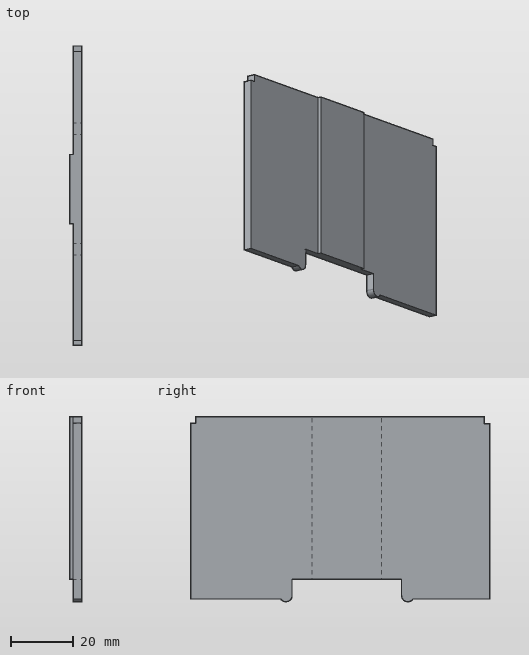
import cadquery as cq
import math

length = 96.5
height = 59.7
total_thickness = 4.0
pad_thickness = 1.2

corner_notches = [
    (-1, 1.6, 2.1),
    (1, 1.8, 2.3),
]

slot_center = 2.1
slot_width = 35.2
slot_top = 7.2
foot_radius = 2.0
foot_drop = 0.9

pad_width = 22.4

plate_thickness = total_thickness - pad_thickness
half_length = length / 2
top = height / 2
foot_bottom = -height / 2
body_bottom = foot_bottom + foot_drop
slot_roof = foot_bottom + slot_top
pad_front = -total_thickness / 2
plate_front = pad_front + pad_thickness


def make_plate():
    """Plate with notched top corners and a plain bottom edge."""
    blank_height = top - body_bottom
    blank = cq.Workplane("XY").box(plate_thickness, length, blank_height, centered=(False, True, False))
    plate = blank.translate((plate_front, 0, body_bottom))
    for side, notch_width, notch_height in corner_notches:
        notch = cq.Workplane("XY").box(plate_thickness, 2 * notch_width, 2 * notch_height)
        notch_x = plate_front + plate_thickness / 2
        plate = plate.cut(notch.translate((notch_x, side * half_length, top)))
    return plate


def make_slot():
    """Open slot whose lower corners are left to the rounded feet."""
    slot_height = slot_roof - foot_bottom
    slot = cq.Workplane("XY").box(plate_thickness, slot_width, slot_height, centered=(False, True, False))
    return slot.translate((plate_front, slot_center, foot_bottom))


def make_foot(side):
    """Foot flush with the slot wall, rounded below into the bottom edge."""
    wall = slot_center + side * slot_width / 2
    center_y = wall + side * foot_radius
    center_z = foot_bottom + foot_radius
    half_chord = math.sqrt(foot_radius**2 - (body_bottom - center_z) ** 2)
    return (
        cq.Workplane("YZ", origin=(plate_front, 0, 0))
        .moveTo(wall, center_z)
        .threePointArc((center_y, foot_bottom), (center_y + side * half_chord, body_bottom))
        .lineTo(center_y + side * half_chord, center_z)
        .close()
        .extrude(plate_thickness)
    )


def make_corner_cut(side):
    """Square end of the plate that the foot's rounded profile replaces."""
    wall = slot_center + side * slot_width / 2
    cut_height = foot_radius - foot_drop
    cut = cq.Workplane("XY").box(plate_thickness, foot_radius, cut_height, centered=(False, True, False))
    return cut.translate((plate_front, wall + side * foot_radius / 2, body_bottom))


def make_pad():
    """Raised band from the slot roof to the top edge."""
    pad_height = top - slot_roof
    pad = cq.Workplane("XY").box(pad_thickness, pad_width, pad_height, centered=(False, True, False))
    return pad.translate((pad_front, slot_center, slot_roof))


result = make_plate().cut(make_slot())
for slot_side in (-1, 1):
    result = result.cut(make_corner_cut(slot_side)).union(make_foot(slot_side))
result = result.union(make_pad())